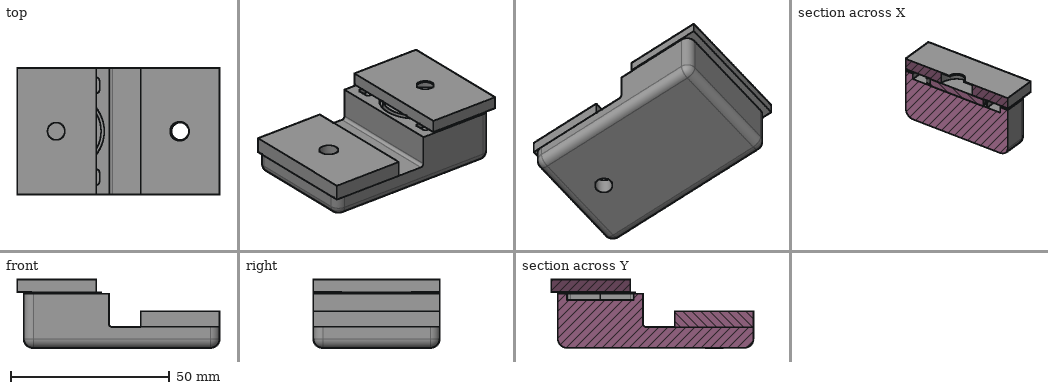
import cadquery as cq

housing_length = 62.0
housing_width = 40.0
block_length = 27.0
block_height = 17.2
foot_height = 6.7
outer_radius = 3.0
step_radius = 1.0

disc_diameter = 22.0
disc_clearance = 1.0
disc_protrusion = 0.5
recess_depth = 2.0
block_center_x = block_length / 2

pocket_margin = 3.0
pocket_length = block_length - 2 * pocket_margin
pocket_width = 5.0
pocket_depth = 2.0
pocket_corner_radius = 1.0
pocket_center_y = housing_width / 2 - pocket_margin - pocket_width / 2

plate_length = 25.0
upper_plate_thickness = 4.0
upper_plate_overhang = 2.0
lower_plate_thickness = 5.0

plate_hole_offset = 12.3
upper_hole_diameter = 5.5
upper_hole_x = plate_hole_offset - upper_plate_overhang
upper_counterbore_diameter = 12.0
upper_hole_lip = 0.5
upper_counterbore_depth = upper_plate_thickness - upper_hole_lip
lower_hole_diameter = 6.0
lower_plate_left_x = housing_length - plate_length
lower_hole_x = lower_plate_left_x + plate_hole_offset
foot_hole_diameter = 5.5
foot_hole_x = lower_plate_left_x + plate_length / 2


def plate(left_x, bottom_z, thickness):
    """Flat plate across the full width, with its left edge at left_x."""
    return (
        cq.Workplane("XY", origin=(left_x, 0, bottom_z))
        .rect(plate_length, housing_width)
        .extrude(thickness)
        .translate((plate_length / 2, 0, 0))
    )


def cylinder(diameter, center_x, bottom_z, height):
    """Upright cylinder on the middle line of the part."""
    return cq.Workplane("XY", origin=(center_x, 0, bottom_z)).circle(diameter / 2).extrude(height)


def make_housing_body():
    """Rounded box with the space above the foot cut away."""
    box = (
        cq.Workplane("XY")
        .box(housing_length, housing_width, block_height, centered=(False, True, False))
        .edges("|Z or <Z")
        .fillet(outer_radius)
    )
    foot_space = (
        cq.Workplane("XY", origin=(block_length, 0, foot_height))
        .box(housing_length, housing_width, block_height, centered=(False, True, False))
        .edges("<X and <Z")
        .fillet(step_radius)
    )
    return box.cut(foot_space)


def make_pocket(center_y):
    """Pocket with rounded corners in the top of the block."""
    return (
        cq.Workplane("XY", origin=(block_center_x, center_y, block_height - pocket_depth))
        .rect(pocket_length, pocket_width)
        .extrude(pocket_depth)
        .edges("|Z")
        .fillet(pocket_corner_radius)
    )


def make_housing():
    """Housing with the disc recess, the two pockets and the foot hole."""
    recess_diameter = disc_diameter + 2 * disc_clearance
    body = make_housing_body()
    body = body.cut(cylinder(recess_diameter, block_center_x, block_height - recess_depth, recess_depth))
    for side in (-1, 1):
        body = body.cut(make_pocket(side * pocket_center_y))
    return body.cut(cylinder(foot_hole_diameter, foot_hole_x, 0, foot_height))


def make_disc():
    """Disc resting on the recess floor and rising above the block."""
    return cylinder(disc_diameter, block_center_x, block_height - recess_depth, recess_depth + disc_protrusion)


def make_upper_plate():
    """Plate on the disc, with a hole that widens to a counterbore from below."""
    bottom_z = block_height + disc_protrusion
    hole = cylinder(upper_hole_diameter, upper_hole_x, bottom_z, upper_plate_thickness)
    counterbore = cylinder(upper_counterbore_diameter, upper_hole_x, bottom_z, upper_counterbore_depth)
    return plate(-upper_plate_overhang, bottom_z, upper_plate_thickness).cut(hole).cut(counterbore)


def make_lower_plate():
    """Plate on the foot, flush with its end, with a through hole."""
    hole = cylinder(lower_hole_diameter, lower_hole_x, foot_height, lower_plate_thickness)
    return plate(lower_plate_left_x, foot_height, lower_plate_thickness).cut(hole)


housing = make_housing()
disc = make_disc()
upper_plate = make_upper_plate()
lower_plate = make_lower_plate()

result = cq.Compound.makeCompound([housing.val(), disc.val(), upper_plate.val(), lower_plate.val()])